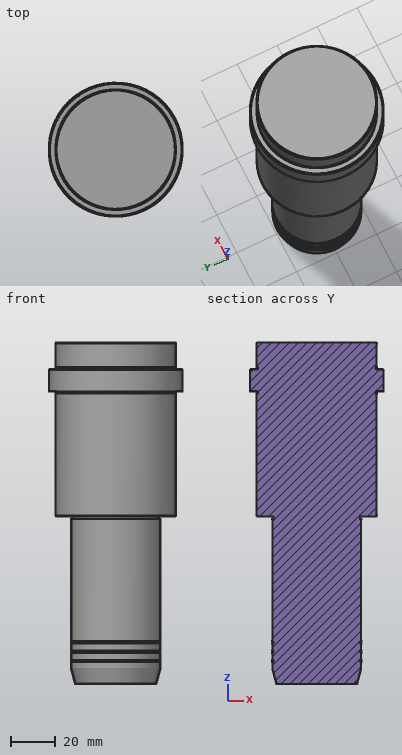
import cadquery as cq
import math

total_length = 153.0
flange_top_depth = 12.0
flange_thickness = 10.0
body_depth = 78.0

head_radius = 27.0
flange_radius = 30.0
shank_radius = 20.0

neck_length = 1.0
neck_depth = 0.5

head_chamfer = 0.5
flange_chamfer = 0.5
tip_chamfer = 0.35

relief_width = 1.0
relief_depth = 0.5

taper_length = 7.0
taper_angle = 15.0

groove_count = 3
groove_width = 1.0
groove_depth = 0.5
groove_pitch = 4.2
lowest_groove_z = 10.3

flange_top_z = total_length - flange_top_depth
flange_bottom_z = flange_top_z - flange_thickness
body_bottom_z = total_length - body_depth
neck_bottom_z = body_bottom_z - neck_length
tip_radius = shank_radius - taper_length * math.tan(math.radians(taper_angle))


def cylinder(radius, bottom_z, top_z):
    """Solid cylinder on the Z axis between two heights."""
    return cq.Workplane("XY").workplane(offset=bottom_z).circle(radius).extrude(top_z - bottom_z)


def ring_groove(radius, depth, bottom_z, width):
    """Ring with a V section, to remove from a cylinder of the given radius."""
    profile = (
        cq.Workplane("XZ")
        .moveTo(radius, bottom_z)
        .lineTo(radius - depth, bottom_z + width / 2)
        .lineTo(radius, bottom_z + width)
        .close()
    )
    return profile.revolve(360, (0, 0, 0), (0, 1, 0))


def make_head():
    """Large-diameter body, with both end edges chamfered."""
    return cylinder(head_radius, body_bottom_z, total_length).edges("%CIRCLE").chamfer(head_chamfer)


def make_flange():
    """Collar around the head, with its upper edge chamfered."""
    return cylinder(flange_radius, flange_bottom_z, flange_top_z).edges(">Z").chamfer(flange_chamfer)


def make_shank():
    """Straight shank with a reduced neck at the top, ending in a conical tip with a chamfered end."""
    shank = cylinder(shank_radius, taper_length, neck_bottom_z)
    neck = cylinder(shank_radius - neck_depth, neck_bottom_z, body_bottom_z)
    tip = (
        cq.Workplane("XY")
        .circle(tip_radius)
        .workplane(offset=taper_length)
        .circle(shank_radius)
        .loft()
    )
    return shank.union(neck).union(tip).faces("<Z").edges().chamfer(tip_chamfer)


def cut_reliefs(part):
    """Narrow V undercuts on both sides of the flange."""
    reliefs = [
        (head_radius, flange_top_z),
        (head_radius, flange_bottom_z - relief_width),
    ]
    for radius, bottom_z in reliefs:
        part = part.cut(ring_groove(radius, relief_depth, bottom_z, relief_width))
    return part


def cut_ring_grooves(part):
    """Evenly spaced V grooves near the lower end of the shank."""
    for index in range(groove_count):
        bottom_z = lowest_groove_z + index * groove_pitch - groove_width / 2
        part = part.cut(ring_groove(shank_radius, groove_depth, bottom_z, groove_width))
    return part


result = make_head().union(make_flange()).union(make_shank())
result = cut_reliefs(result)
result = cut_ring_grooves(result)